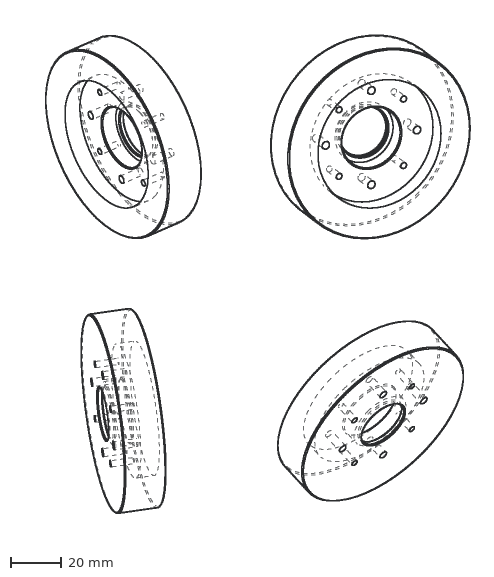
import cadquery as cq

outer_diameter = 80.0
width = 17.0
edge_chamfer = 0.5

recess_diameter = 54.0
recess_depth = 7.5

seat_diameter = 25.6
seat_depth = 7.0
bore_diameter = 21.0

bolt_circle_diameter = 40.0
large_hole_diameter = 3.2
small_hole_diameter = 2.5
holes_per_size = 4
small_hole_start_angle = 45.0

front_y = -width / 2
recess_floor_y = front_y + recess_depth
seat_floor_y = recess_floor_y + seat_depth


def cylinder(diameter, start_y, length):
    """Cylinder on the wheel axis, running from start_y toward +Y."""
    plane = cq.Plane(origin=(0, start_y, 0), xDir=(1, 0, 0), normal=(0, 1, 0))
    return cq.Workplane(plane).circle(diameter / 2).extrude(length)


def chamfered_bore(diameter, start_y, length):
    """Cutting tool for a round bore with a chamfer at its -Y mouth."""
    radius = diameter / 2
    end_y = start_y + length
    half_section = [
        (0, start_y),
        (radius + edge_chamfer, start_y),
        (radius, start_y + edge_chamfer),
        (radius, end_y),
        (0, end_y),
    ]
    return cq.Workplane("XY").polyline(half_section).close().revolve(360, (0, 0), (0, 1))


def bolt_holes(diameter, start_angle):
    """Cutting tools for one evenly spaced ring of through holes."""
    plane = cq.Plane(origin=(0, front_y, 0), xDir=(1, 0, 0), normal=(0, 1, 0))
    return (
        cq.Workplane(plane)
        .polarArray(bolt_circle_diameter / 2, start_angle, 360, holes_per_size)
        .circle(diameter / 2)
        .extrude(width)
    )


body = cylinder(outer_diameter, front_y, width).edges().chamfer(edge_chamfer)

body = body.cut(cylinder(recess_diameter, front_y, recess_depth))
body = body.cut(chamfered_bore(seat_diameter, recess_floor_y, seat_depth))
body = body.cut(chamfered_bore(bore_diameter, seat_floor_y, width / 2 - seat_floor_y))

body = body.faces(">Y").edges(cq.selectors.RadiusNthSelector(0)).chamfer(edge_chamfer)

body = body.cut(bolt_holes(large_hole_diameter, 0))
body = body.cut(bolt_holes(small_hole_diameter, small_hole_start_angle))

result = body